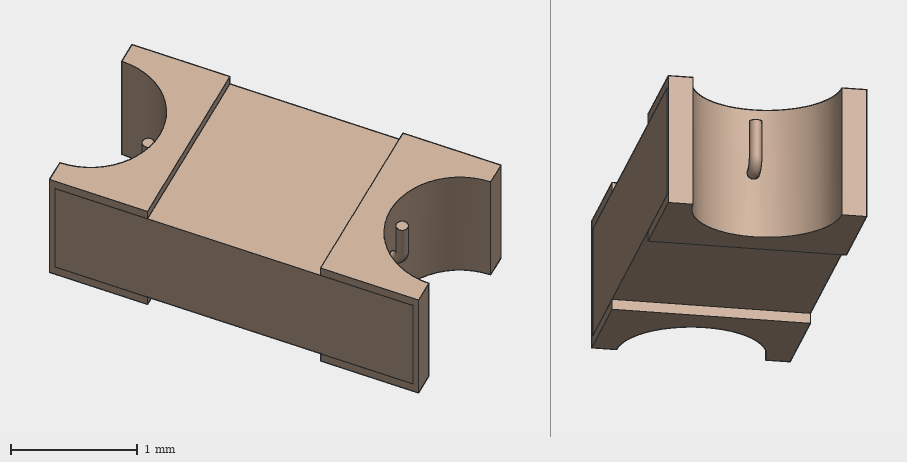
import cadquery as cq

length = 3.2
width = 1.6
height = 1.08

cap_length = 0.85
end_plating = 0.05
face_plating = 0.085
notch_radius = 0.6

core_length = length - 2 * end_plating
core_height = height - 2 * face_plating

wire_radius = 0.05
bend_radius = 0.1
wire_straight_half = length / 2 - notch_radius
wire_top = 0.4


def notch_cutter(side, radius):
    """Upright cylinder centred on the end face at side (-1 or +1) in X."""
    return cq.Workplane("XY").center(side * length / 2, 0).circle(radius).extrude(height, both=True)


def make_core_blank():
    """Core with its notches, without the wire hole."""
    core = cq.Workplane("XY").box(core_length, width, core_height)
    for side in (-1, 1):
        core = core.cut(notch_cutter(side, notch_radius + end_plating))
    return core


def make_end_cap(side, core_blank, wire):
    """Cap that fits around one end of the core, with a hole for the wire."""
    block = cq.Workplane("XY").box(cap_length, width, height)
    block = block.translate((side * (length - cap_length) / 2, 0, 0))
    return block.cut(notch_cutter(side, notch_radius)).cut(core_blank).cut(wire)


def make_wire():
    """Round wire along X with a quarter bend and a short upright leg at each end."""
    leg_x = wire_straight_half + bend_radius
    path = (
        cq.Workplane("XZ")
        .moveTo(-leg_x, wire_top)
        .lineTo(-leg_x, bend_radius)
        .radiusArc((-wire_straight_half, 0), -bend_radius)
        .lineTo(wire_straight_half, 0)
        .radiusArc((leg_x, bend_radius), -bend_radius)
        .lineTo(leg_x, wire_top)
    )
    leg_end = cq.Workplane("XY", origin=(-leg_x, 0, wire_top))
    return leg_end.circle(wire_radius).sweep(path)


wire = make_wire()
core_blank = make_core_blank()
core = core_blank.cut(wire)
end_caps = [make_end_cap(side, core_blank, wire) for side in (-1, 1)]

bodies = [core, *end_caps, wire]
result = cq.Compound.makeCompound([solid for body in bodies for solid in body.solids().vals()])